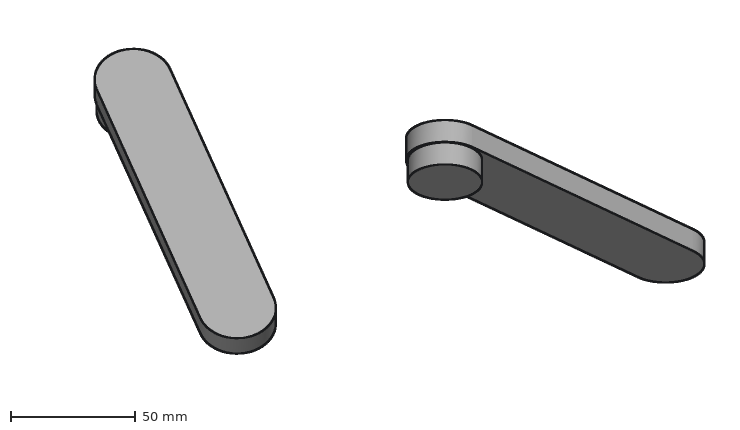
import cadquery as cq

arm_length = 156.5
arm_width = 31.5
arm_thickness = 10.0
boss_diameter = 30.0
boss_height = 10.0

boss_x = -(arm_length - arm_width) / 2

arm = cq.Workplane("XY").slot2D(arm_length, arm_width).extrude(arm_thickness)

boss = cq.Workplane("XY").center(boss_x, 0).circle(boss_diameter / 2).extrude(-boss_height)

result = arm.union(boss)